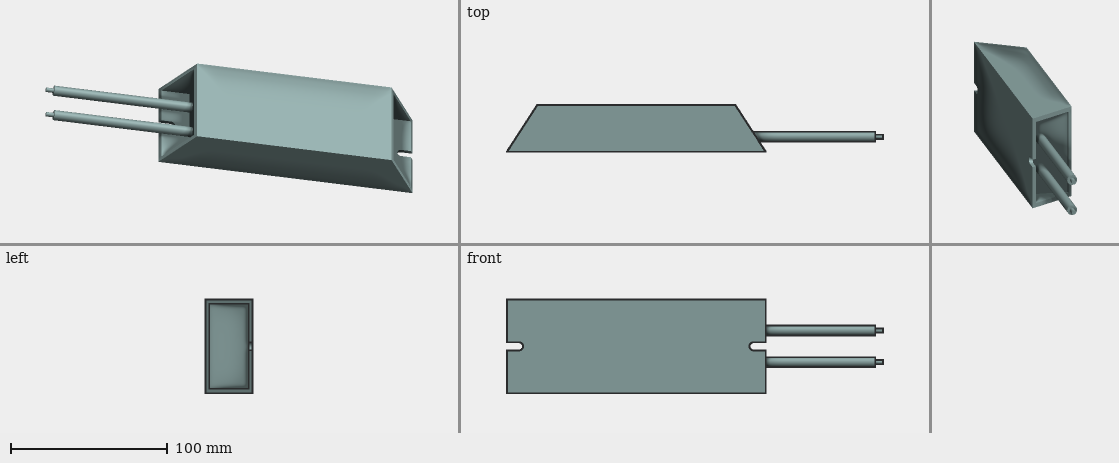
import cadquery as cq

case_length = 165.0
case_depth = 30.0
case_height = 60.0
end_setback = 19.5
front_wall = 2.5
side_wall = 3.0

fill_inset = 20.0

slot_width = 5.0
slot_depth = 10.3

overall_length = 240.0
lead_diameter = 6.5
core_diameter = 3.0
core_length = 5.0
lead_spacing = 20.2
lead_offset = 9.5

fill_end = case_length - fill_inset


def make_case():
    """Slant-ended tube, lying on Y = 0 and centred on Z = 0."""
    outline = [
        (0, 0),
        (case_length, 0),
        (case_length - end_setback, case_depth),
        (end_setback, case_depth),
    ]
    outer = cq.Workplane("XY").polyline(outline).close().extrude(case_height / 2, both=True)
    bore = cq.Workplane("XY").box(
        case_length,
        case_depth - 2 * front_wall,
        case_height - 2 * side_wall,
        centered=(False, False, True),
    ).translate((0, front_wall, 0))
    return outer.cut(bore)


def make_filling():
    """Block closing the bore, set back from both ends of the case."""
    return cq.Workplane("XY").box(
        fill_end - fill_inset,
        case_depth - 2 * front_wall,
        case_height - 2 * side_wall,
        centered=(False, False, True),
    ).translate((fill_inset, front_wall, 0))


def make_slot(end_x, inward):
    """Round-bottomed slot cutter through the front wall; inward is +1 or -1 along X."""
    radius = slot_width / 2
    centre_x = end_x + inward * (slot_depth - radius)
    straight = cq.Workplane("XY").box(
        slot_depth - radius, front_wall, slot_width, centered=(True, False, True)
    ).translate(((end_x + centre_x) / 2, 0, 0))
    round_end = cq.Workplane("XZ").center(centre_x, 0).circle(radius).extrude(-front_wall)
    return straight.union(round_end)


def make_lead(z):
    """Insulated lead with a bare core at its tip, starting at the filling."""
    start = cq.Workplane("YZ", origin=(fill_end, lead_offset, z))
    lead_length = overall_length - fill_end
    sheath = start.circle(lead_diameter / 2).extrude(lead_length - core_length)
    core = start.circle(core_diameter / 2).extrude(lead_length)
    return sheath.union(core)


result = make_case().union(make_filling())
for end_x, inward in ((0, 1), (case_length, -1)):
    result = result.cut(make_slot(end_x, inward))
for z in (-lead_spacing / 2, lead_spacing / 2):
    result = result.union(make_lead(z))